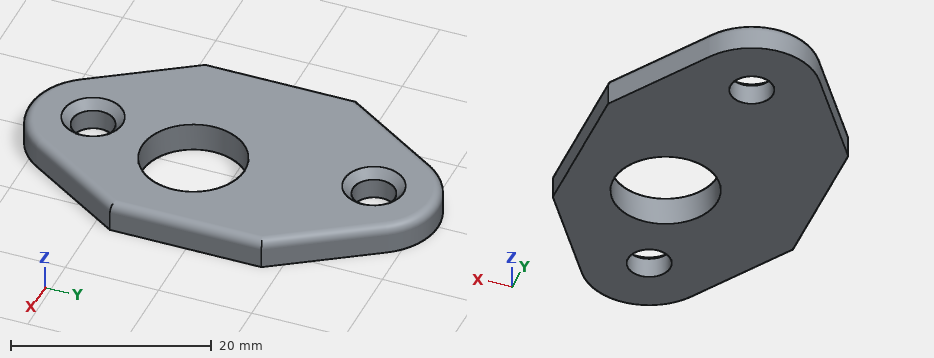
import cadquery as cq
import math

length = 43.95
width = 25.4
thickness = 3.15
side_flat_length = 16.25
edge_radius = 0.95

screw_offset = 15.05
screw_diameter = 4.5
countersink_diameter = 6.33
countersink_angle = 90

opening_diameter = 11.0
opening_x = 2.5
opening_y = -3.3

end_radius = length / 2 - screw_offset
corner_x = width / 2
corner_y = side_flat_length / 2
corner_drop = screw_offset - corner_y
corner_distance = math.hypot(corner_x, corner_drop)
tangent_angle = math.acos(end_radius / corner_distance) - math.atan2(corner_drop, corner_x)
tangent_x = end_radius * math.cos(tangent_angle)
tangent_y = screw_offset + end_radius * math.sin(tangent_angle)


def make_plate():
    """Elongated plate with rounded ends and a rounded top edge."""
    outline = (
        cq.Workplane("XY")
        .moveTo(corner_x, -corner_y)
        .lineTo(corner_x, corner_y)
        .lineTo(tangent_x, tangent_y)
        .threePointArc((0, length / 2), (-tangent_x, tangent_y))
        .lineTo(-corner_x, corner_y)
        .lineTo(-corner_x, -corner_y)
        .lineTo(-tangent_x, -tangent_y)
        .threePointArc((0, -length / 2), (tangent_x, -tangent_y))
        .close()
    )
    return outline.extrude(thickness).faces(">Z").edges().fillet(edge_radius)


def cut_screw_holes(plate):
    """Two countersunk holes on the long centreline."""
    return (
        plate.faces(">Z")
        .workplane(origin=(0, 0, thickness))
        .pushPoints([(0, screw_offset), (0, -screw_offset)])
        .cskHole(screw_diameter, countersink_diameter, countersink_angle)
    )


def cut_opening(plate):
    """Large plain hole through the plate."""
    return (
        plate.faces(">Z")
        .workplane(origin=(0, 0, thickness))
        .center(opening_x, opening_y)
        .hole(opening_diameter)
    )


result = cut_opening(cut_screw_holes(make_plate()))